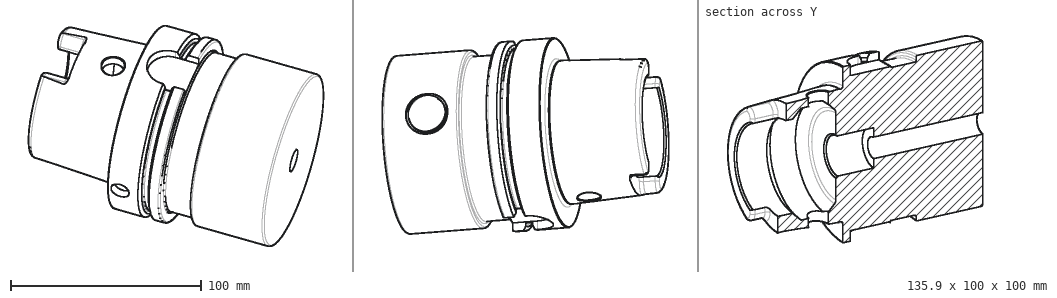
import cadquery as cq
import math

total_length = 135.9
body_diameter = 94.0
body_start = 94.9
neck_diameter = 87.0
shoulder_radius = 1.0

taper_ratio = 0.1
gauge_diameter = 75.0
gauge_position = 40.0
taper_end = 47.4
relief_diameter = 75.3
relief_bevel = 0.7
face_fillet = 1.5
mouth_rounding = 1.9

flange_start = 49.9
flange_end = 79.0
flange_diameter = 100.0
flange_chamfer = 0.4
groove_center = 70.0
groove_width = 6.3
groove_floor_width = 3.7
groove_flank_angle = 60.0
groove_corner_radius = 0.7
groove_floor_diameter = 91.6

bore_diameter = 53.0
bore_chamfer = 1.0
chamber_diameter = 63.0
chamber_cone_start = 19.3
chamber_cone_angle = 45.0
chamber_end = 45.7
chamber_corner_radius = 2.7
chamber_floor_diameter = 49.3
thread_bore_diameter = 22.5
thread_bore_chamfer = 1.0
thread_bore_depth = 23.1
coolant_diameter = 12.0

slot_width = 20.0
slot_edge_height = 32.1
slot_edge_radius = 5.0
slot_corner_radius = 1.9
top_slot_depth = 15.1
bottom_slot_depth = 10.0

cross_hole_diameter = 12.0
cross_hole_position = 35.0
cross_hole_chamfer = 0.4
pocket_diameter = 10.0
pocket_position = 57.0
pocket_depth = 4.6
gripper_slot_width = 22.3
gripper_slot_start = 54.6
gripper_slot_height = 44.0

screw_position = 111.7
screw_diameter = 20.0
screw_length = 21.7
screw_top = 46.7
screw_hole_chamfer_diameter = 22.5


def taper_diameter(x):
    return gauge_diameter + taper_ratio * (x - gauge_position)


def revolve_about_axis(profile):
    return profile.close().revolve(360, (0, 0, 0), (1, 0, 0))


def make_outer_body():
    """Solid of revolution: taper shank, grooved flange, neck and cylindrical body."""
    flange_r = flange_diameter / 2
    neck_r = neck_diameter / 2
    body_r = body_diameter / 2
    relief_r = relief_diameter / 2
    groove_r = groove_floor_diameter / 2
    r = shoulder_radius
    groove_half = groove_width / 2
    wall_half = groove_floor_width / 2
    corner = groove_corner_radius
    flank_depth = (groove_half - wall_half) * math.tan(math.radians(groove_flank_angle))
    profile = (
        cq.Workplane("XY")
        .lineTo(0, taper_diameter(mouth_rounding) / 2 - mouth_rounding)
        .radiusArc((mouth_rounding, taper_diameter(mouth_rounding) / 2), mouth_rounding)
        .lineTo(taper_end, taper_diameter(taper_end) / 2)
        .lineTo(taper_end + relief_bevel, relief_r)
        .lineTo(flange_start - face_fillet, relief_r)
        .radiusArc((flange_start, relief_r + face_fillet), -face_fillet)
        .lineTo(flange_start, flange_r - flange_chamfer)
        .lineTo(flange_start + flange_chamfer, flange_r)
        .lineTo(groove_center - groove_half, flange_r)
        .lineTo(groove_center - wall_half, flange_r - flank_depth)
        .lineTo(groove_center - wall_half, groove_r + corner)
        .radiusArc((groove_center - wall_half + corner, groove_r), -corner)
        .lineTo(groove_center + wall_half - corner, groove_r)
        .radiusArc((groove_center + wall_half, groove_r + corner), -corner)
        .lineTo(groove_center + wall_half, flange_r - flank_depth)
        .lineTo(groove_center + groove_half, flange_r)
        .lineTo(flange_end - r, flange_r)
        .radiusArc((flange_end, flange_r - r), r)
        .lineTo(flange_end, neck_r + r)
        .radiusArc((flange_end + r, neck_r), -r)
        .lineTo(body_start - r, neck_r)
        .radiusArc((body_start, neck_r + r), -r)
        .lineTo(body_start, body_r - r)
        .radiusArc((body_start + r, body_r), r)
        .lineTo(total_length - r, body_r)
        .radiusArc((total_length, body_r - r), r)
        .lineTo(total_length, 0)
    )
    return revolve_about_axis(profile)


def make_key_land():
    """Wall material on the +Y side of a drive slot: rounded along its upper and its mouth edge."""
    wall_y = slot_width / 2
    clear = flange_diameter / 2
    arc_z = slot_edge_height - slot_edge_radius
    land = (
        cq.Workplane("YZ")
        .moveTo(wall_y, 0)
        .lineTo(wall_y, arc_z)
        .radiusArc((wall_y + slot_edge_radius, slot_edge_height), slot_edge_radius)
        .lineTo(clear, slot_edge_height)
        .lineTo(clear, 0)
        .close()
        .extrude(flange_start)
    )
    return land.faces("<X").edges("not(<Z or >Y)").fillet(mouth_rounding)


def make_drive_slot(depth, side):
    """Slot cutter; side is +1 for the top slot and -1 for the bottom one."""
    land = make_key_land()
    slot = (
        cq.Workplane("XY")
        .box(depth, flange_diameter, flange_diameter / 2, centered=(False, True, False))
        .cut(land)
        .cut(land.mirror("XZ"))
        .faces(">X")
        .edges()
        .fillet(slot_corner_radius)
    )
    return slot if side > 0 else slot.mirror("XY")


def make_bore():
    """Stepped inside: bore, undercut chamber, thread bore and coolant hole."""
    bore_r = bore_diameter / 2
    chamber_r = chamber_diameter / 2
    thread_r = thread_bore_diameter / 2
    cone_angle = math.radians(chamber_cone_angle)
    front_cone_length = (chamber_r - bore_r) / math.tan(cone_angle)
    floor_r = chamber_floor_diameter / 2
    corner_x = chamber_end - chamber_corner_radius * (1 - math.sin(cone_angle))
    corner_r = floor_r + chamber_corner_radius * math.cos(cone_angle)
    rear_cone_length = (chamber_r - corner_r) / math.tan(cone_angle)
    profile = (
        cq.Workplane("XY")
        .lineTo(0, bore_r + bore_chamfer)
        .lineTo(bore_chamfer, bore_r)
        .lineTo(chamber_cone_start, bore_r)
        .lineTo(chamber_cone_start + front_cone_length, chamber_r)
        .lineTo(corner_x - rear_cone_length, chamber_r)
        .lineTo(corner_x, corner_r)
        .radiusArc((chamber_end, floor_r), chamber_corner_radius)
        .lineTo(chamber_end, thread_r + thread_bore_chamfer)
        .lineTo(chamber_end + thread_bore_chamfer, thread_r)
        .lineTo(chamber_end + thread_bore_depth, thread_r)
        .lineTo(chamber_end + thread_bore_depth, coolant_diameter / 2)
        .lineTo(total_length, coolant_diameter / 2)
        .lineTo(total_length, 0)
    )
    return revolve_about_axis(profile)


def cut_cross_hole(shank):
    """Drills through the still solid shank along Z and chamfers both ends of the hole."""
    hole_r = cross_hole_diameter / 2
    reach = flange_diameter / 2
    hole = (
        cq.Workplane("XY", origin=(cross_hole_position, 0, -reach))
        .circle(hole_r)
        .extrude(2 * reach)
    )
    shank = shank.cut(hole)
    for side in (1, -1):
        rim = cq.selectors.BoxSelector(
            (cross_hole_position - hole_r, -hole_r, side * bore_diameter / 2),
            (cross_hole_position + hole_r, hole_r, side * reach),
        )
        shank = shank.edges(rim).chamfer(cross_hole_chamfer)
    return shank


def make_chip_pocket():
    """Blind pocket in the -Y side of the flange."""
    return (
        cq.Workplane("XZ", origin=(pocket_position, pocket_depth - flange_diameter / 2, 0))
        .circle(pocket_diameter / 2)
        .extrude(pocket_depth)
    )


def make_gripper_slot(side):
    """Flat-floored slot with a round front end; side is +1 for the top and -1 for the bottom."""
    half = gripper_slot_width / 2
    straight_start = gripper_slot_start + half
    return (
        cq.Workplane("XY", origin=(0, 0, side * gripper_slot_height))
        .moveTo(flange_end, -half)
        .lineTo(straight_start, -half)
        .threePointArc((gripper_slot_start, 0), (straight_start, half))
        .lineTo(flange_end, half)
        .close()
        .extrude(side * flange_diameter / 2)
    )


def make_screw():
    return (
        cq.Workplane("XZ", origin=(screw_position, screw_top, 0))
        .circle(screw_diameter / 2)
        .extrude(screw_length)
    )


def make_screw_hole():
    """Hole that fits the screw, with a chamfer that opens out to the body surface."""
    screw_r = screw_diameter / 2
    mouth_r = screw_hole_chamfer_diameter / 2
    bottom = screw_top - screw_length
    chamfer_depth = mouth_r - screw_r
    mouth = body_diameter / 2
    chamfer_top = mouth - chamfer_depth
    profile = (
        cq.Workplane("XY", origin=(screw_position, 0, 0))
        .moveTo(0, bottom)
        .lineTo(screw_r, bottom)
        .lineTo(screw_r, chamfer_top - chamfer_depth)
        .lineTo(mouth_r, chamfer_top)
        .lineTo(mouth_r, mouth)
        .lineTo(0, mouth)
        .close()
    )
    return profile.revolve(360, (0, 0, 0), (0, 1, 0))


def make_holder():
    holder = make_outer_body()
    holder = holder.cut(make_drive_slot(top_slot_depth, 1))
    holder = holder.cut(make_drive_slot(bottom_slot_depth, -1))
    holder = cut_cross_hole(holder)
    holder = holder.cut(make_bore())
    holder = holder.cut(make_chip_pocket())
    for side in (1, -1):
        holder = holder.cut(make_gripper_slot(side))
    return holder.cut(make_screw_hole())


holder = make_holder()
screw = make_screw()
result = cq.Compound.makeCompound([holder.val(), screw.val()])